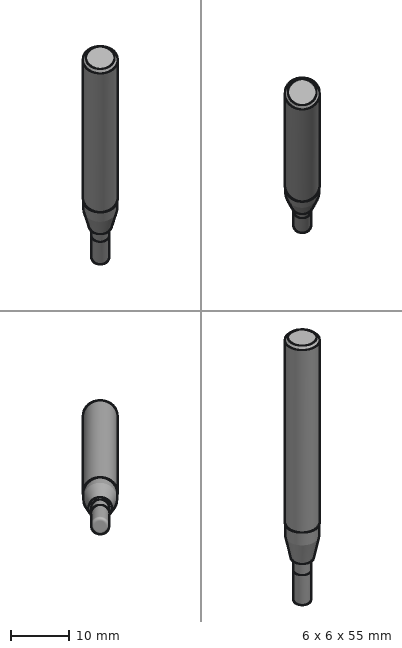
import cadquery as cq

total_length = 55.0

tip_diameter = 3.15
tip_length = 6.55
tip_corner_radius = 0.55

stem_diameter = tip_diameter
taper_bottom_z = 9.2
taper_top_z = 13.65
shank_bottom_z = 16.4
taper_small_diameter = 4.0
collar_diameter = 5.85
shank_diameter = 6.0
shank_chamfer = 0.55


def make_tip():
    """Cylindrical cutting tip with a rounded lower edge."""
    tip = cq.Workplane("XY").circle(tip_diameter / 2).extrude(tip_length)
    return tip.faces("<Z").edges().fillet(tip_corner_radius)


def make_holder():
    """Revolved holder that sits on the flat top of the tip."""
    shank_radius = shank_diameter / 2
    profile = (
        cq.Workplane("XZ")
        .moveTo(0, tip_length)
        .lineTo(stem_diameter / 2, tip_length)
        .lineTo(stem_diameter / 2, taper_bottom_z)
        .lineTo(taper_small_diameter / 2, taper_bottom_z)
        .lineTo(collar_diameter / 2, taper_top_z)
        .lineTo(collar_diameter / 2, shank_bottom_z)
        .lineTo(shank_radius, shank_bottom_z)
        .lineTo(shank_radius, total_length - shank_chamfer)
        .lineTo(shank_radius - shank_chamfer, total_length)
        .lineTo(0, total_length)
        .close()
    )
    return profile.revolve(360, (0, 0, 0), (0, 1, 0))


tip = make_tip()
holder = make_holder()

result = cq.Compound.makeCompound([tip.val(), holder.val()])